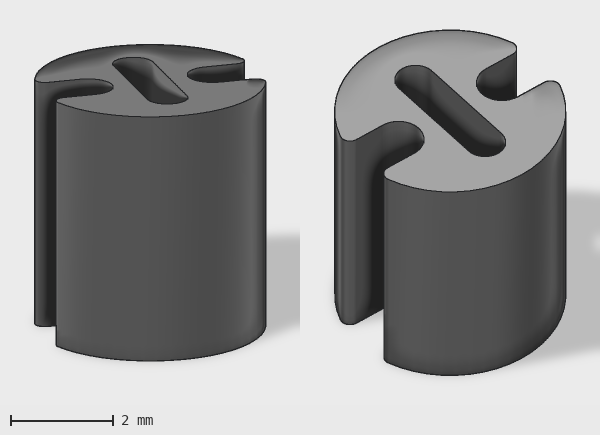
import cadquery as cq

height = 5.0
diameter = 4.5
groove_width = 0.99
groove_floor = 0.78
lip_radius = 0.2
slot_length = 3.0
slot_width = 0.8

outer_radius = diameter / 2
groove_radius = groove_width / 2


def side_groove(side):
    """Round-bottomed groove along the full height, open toward +Y (side=1) or -Y (side=-1)."""
    floor_center_y = side * (groove_floor + groove_radius)
    mouth_y = side * diameter
    return (
        cq.Workplane("XY")
        .moveTo(-groove_radius, mouth_y)
        .lineTo(-groove_radius, floor_center_y)
        .threePointArc((0, side * groove_floor), (groove_radius, floor_center_y))
        .lineTo(groove_radius, mouth_y)
        .close()
        .extrude(height)
    )


body = cq.Workplane("XY").circle(outer_radius).extrude(height)
for side in (1, -1):
    body = body.cut(side_groove(side))

lip_y = (outer_radius**2 - groove_radius**2) ** 0.5
for x in (-groove_radius, groove_radius):
    for y in (-lip_y, lip_y):
        lip_edge = cq.selectors.NearestToPointSelector((x, y, height / 2))
        body = body.edges(lip_edge).fillet(lip_radius)

slot = cq.Workplane("XY").slot2D(slot_length, slot_width).extrude(height)
result = body.cut(slot)